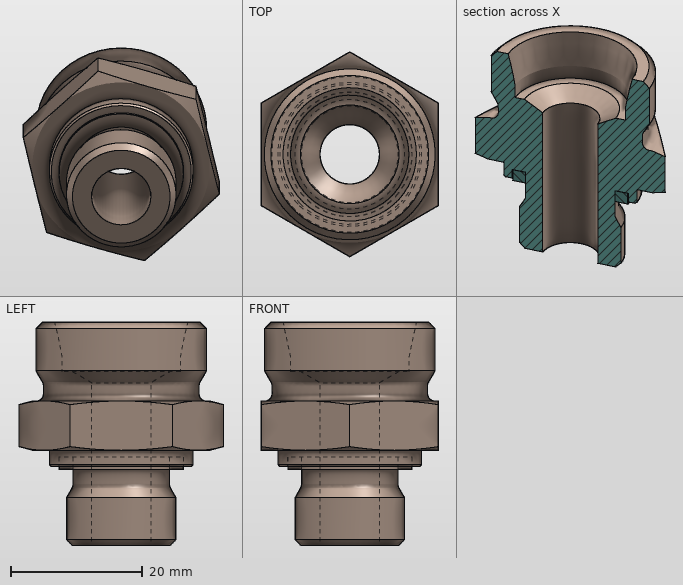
import cadquery as cq
import math


hex_across_flats = 27.0
hex_bottom = 14.5
hex_top = 22.0
hex_chamfer_angle = 15.0
hex_across_corners = hex_across_flats / math.cos(math.radians(30))

body_top = 34.0
tube_thread_radius = 26.0 / 2
tube_thread_bottom = 26.6
tube_thread_chamfer = 1.0
tube_groove_radius = 23.7 / 2
tube_groove_fillet = 1.0
hex_blend_fillet = 1.1

stud_radius = 16.66 / 2
stud_top = 7.3
stud_chamfer = 0.9
neck_radius = 14.7 / 2
neck_fillet = 1.2

runout_angle = 30.0

collar_radius = 21.9 / 2
collar_bottom = 12.0
collar_chamfer = 0.3
recess_radius = 19.0 / 2
recess_depth = 1.5

seal_radius = 18.9 / 2
seal_projection = 0.4

bore_radius = 9.0 / 2
socket_radius = 18.0 / 2
socket_depth = 7.5
socket_cone_depth = 5.4
socket_cone_angle = 12.0
countersink_radius = 15.0 / 2
countersink_angle = 60.0

edge_margin = 0.01


def tan_deg(angle):
    return math.tan(math.radians(angle))


def revolve_profile(profile):
    """Revolve a closed (radius, height) profile drawn on the XZ plane about Z."""
    return profile.close().revolve(360, (0, 0, 0), (0, 1, 0))


def fillet_ring(solid, radius, height, fillet):
    """Round the circular edge that has the given radius and height."""
    reach = radius + edge_margin
    low_corner = (-reach, -reach, height - edge_margin)
    high_corner = (reach, reach, height + edge_margin)
    selector = cq.selectors.BoxSelector(low_corner, high_corner, boundingbox=True)
    return solid.edges(selector).fillet(fillet)


def make_hexagon():
    """Hexagon with its corners on the Y axis and conical chamfers at both ends."""
    height = hex_top - hex_bottom
    flat_radius = hex_across_flats / 2
    corner_radius = hex_across_corners / 2
    chamfer_drop = (corner_radius - flat_radius) * tan_deg(hex_chamfer_angle)
    prism = (
        cq.Workplane("XY", origin=(0, 0, hex_bottom))
        .polygon(6, hex_across_corners)
        .extrude(height)
        .rotate((0, 0, 0), (0, 0, 1), 30)
    )
    envelope = revolve_profile(
        cq.Workplane("XZ")
        .moveTo(0, hex_bottom)
        .lineTo(flat_radius, hex_bottom)
        .lineTo(corner_radius, hex_bottom + chamfer_drop)
        .lineTo(corner_radius, hex_top - chamfer_drop)
        .lineTo(flat_radius, hex_top)
        .lineTo(0, hex_top)
    )
    return prism.intersect(envelope)


def make_tube_connection():
    """Upper thread with its runout cone and the groove above the hexagon."""
    runout_height = (tube_thread_radius - tube_groove_radius) / tan_deg(runout_angle)
    groove_top = tube_thread_bottom - runout_height
    connection = revolve_profile(
        cq.Workplane("XZ")
        .moveTo(0, hex_top)
        .lineTo(tube_groove_radius, hex_top)
        .lineTo(tube_groove_radius, groove_top)
        .lineTo(tube_thread_radius, tube_thread_bottom)
        .lineTo(tube_thread_radius, body_top - tube_thread_chamfer)
        .lineTo(tube_thread_radius - tube_thread_chamfer, body_top)
        .lineTo(0, body_top)
    )
    return fillet_ring(connection, tube_groove_radius, groove_top, tube_groove_fillet)


def make_stud():
    """Lower thread with its runout cone and the neck reaching up to the hexagon."""
    neck_bottom = stud_top + (stud_radius - neck_radius) / tan_deg(runout_angle)
    stud = revolve_profile(
        cq.Workplane("XZ")
        .lineTo(stud_radius - stud_chamfer, 0)
        .lineTo(stud_radius, stud_chamfer)
        .lineTo(stud_radius, stud_top)
        .lineTo(neck_radius, neck_bottom)
        .lineTo(neck_radius, hex_bottom)
        .lineTo(0, hex_bottom)
    )
    return fillet_ring(stud, neck_radius, neck_bottom, neck_fillet)


def make_collar():
    """Chamfered collar with the seal recess open at its bottom, around the neck."""
    collar = (
        cq.Workplane("XY", origin=(0, 0, collar_bottom))
        .circle(collar_radius)
        .extrude(hex_bottom - collar_bottom)
        .faces("<Z")
        .chamfer(collar_chamfer)
    )
    recess = cq.Workplane("XY", origin=(0, 0, collar_bottom)).circle(recess_radius).extrude(recess_depth)
    return collar.cut(recess)


def make_bore():
    """Through bore, opening through a countersink into the conical tube socket."""
    socket_floor = body_top - socket_depth
    cone_bottom = body_top - socket_cone_depth
    mouth_radius = socket_radius + socket_cone_depth * tan_deg(socket_cone_angle)
    countersink_depth = (countersink_radius - bore_radius) / tan_deg(countersink_angle)
    return revolve_profile(
        cq.Workplane("XZ")
        .lineTo(bore_radius, 0)
        .lineTo(bore_radius, socket_floor - countersink_depth)
        .lineTo(countersink_radius, socket_floor)
        .lineTo(socket_radius, socket_floor)
        .lineTo(socket_radius, cone_bottom)
        .lineTo(mouth_radius, body_top)
        .lineTo(0, body_top)
    )


def make_fitting():
    """Fitting body, with the groove blended into the top of the hexagon."""
    fitting = make_hexagon().union(make_tube_connection())
    fitting = fillet_ring(fitting, tube_groove_radius, hex_top, hex_blend_fillet)
    return fitting.union(make_collar()).union(make_stud()).cut(make_bore()).solids()


def make_seal():
    """Flat ring seated on the recess floor around the neck."""
    return (
        cq.Workplane("XY", origin=(0, 0, collar_bottom - seal_projection))
        .circle(seal_radius)
        .circle(neck_radius)
        .extrude(seal_projection + recess_depth)
    )


fitting = make_fitting()
seal = make_seal()

result = cq.Compound.makeCompound([fitting.val(), seal.val()])